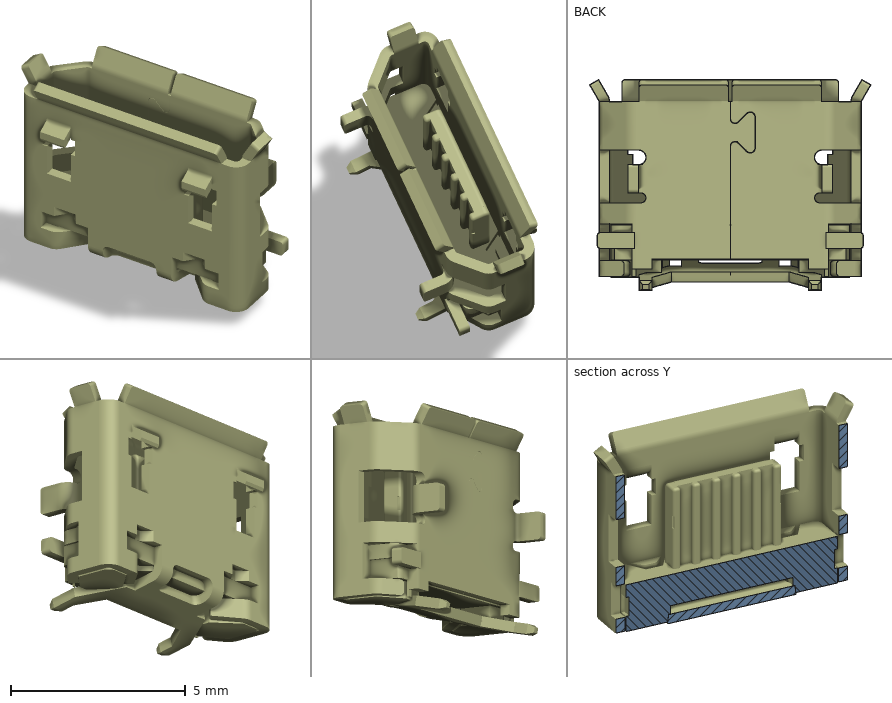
import cadquery as cq
import math

SHEET = 0.3
BEND = 0.42
HALF_WIDTH = 3.75
DEPTH = 2.45
HEIGHT = 5.0
BACK_INNER = DEPTH - SHEET
BACK_CHAMFER = 0.885
CLEAR = 0.8
OVERLAP = 0.08

FLARE_ANGLE = 30
FLARE_INNER_RADIUS = 0.02
FLARE_RADIUS = SHEET + FLARE_INNER_RADIUS
FLARE_TIP_X = 4.02
FLARE_LENGTH = (
    FLARE_TIP_X - HALF_WIDTH - FLARE_INNER_RADIUS * (1 - math.cos(math.radians(FLARE_ANGLE)))
) / math.sin(math.radians(FLARE_ANGLE))
FLARE_CORNER = 0.1
FRONT_FLARE_HALF = 3.095
SIDE_FLARE_Y = (0.555, 1.32)
BACK_FLARE_HALF = 2.605
BACK_FLARE_GAP = 0.105

SEAM_GAP = 0.01
SEAM_TONGUE_X = -0.71
SEAM_TONGUE_Z = 4.12
SEAM_NECK_HALF = 0.065
SEAM_ROUND = 0.14

CLIP_X = (1.98, 2.78)
CLIP_ROOT_Z = 4.47
CLIP_INNER_RADIUS = 0.11
CLIP_RADIUS = SHEET + CLIP_INNER_RADIUS
CLIP_ANGLE = 60
CLIP_LENGTH = 0.47
CLIP_REACH = 0.36
CLIP_SLOT_Z = 2.55
CLIP_WIDE_X = (1.83, 2.93)
CLIP_WIDE_Z = (3.49, 4.0)

WINDOW_Z = (2.11, 3.61)
WINDOW_Y = 1.04
WINDOW_END_X = 2.41
SLOT_ROUNDING = 0.499
LEG_ROOT_X = 2.51
LEG_Z = (2.39, 3.2)
LEG_TIP_Y = 3.24
LEG_CORNER = 0.1

FRONT_OPENING_X = (1.4, 2.99)
FRONT_OPENING_Z = (0.6, 1.165)
STRAP_RADIUS = 0.38
STRAP_ANGLE = 45
FRONT_STRAP_X = 2.65
FRONT_STRAP_LENGTH = 0.925
STRAP_CORNER = 0.12
STRAP_RISE = 0.1
SIDE_OPENING_Y = 1.165
SIDE_OPENING_Z = (0.46, 1.5)
SIDE_STRAP_Y = 1.39
SIDE_STRAP_ANGLE = 54
SIDE_STRAP_LENGTH = 0.67
BACK_WALL_BOTTOM = 0.21
BACK_WALL_END_X = 2.81
BACK_NOTCH_HALF = 2.235
BACK_NOTCH_TOP_Z = 0.51
TAB_X = 3.8
TAB_Y = (2.18, 2.5)
TAB_Z = (0.795, 1.26)
TAB_CORNER = 0.1

DIMPLE_X = 2.17
DIMPLE_TOP_Z = 1.48
DIMPLE_BASE_HALF = 0.48
DIMPLE_CREST_HALF = 0.19
DIMPLE_DEPTH = 0.29
HOLLOW_BASE_HALF = 0.37
HOLLOW_CREST_HALF = 0.11
DIMPLE_ROUND = 0.16
HOLLOW_ROUND = 0.08

FLAP_DROP = 11.6
FLAP_ANGLE = 90 - FLAP_DROP
FLAP_BEND_Z = 0.555
FLAP_SLOT_HALF = 0.9
FLAP_SLOT_TOP_Z = 0.75
FLAP_SLOT_REACH = 0.28
FLAP_SLOT_CORNER = 0.2
SHOULDER_X = 1.785
SHOULDER_REACH = 0.675
FLAP_REACH = 1.51
FLAP_BACK_HALF = 1.68
PEG_X = (2.235, 2.605)
PEG_ROOT_REACH = 2.3
PEG_SIDE_REACH = 1.93
PEG_REACH = 2.725
PEG_POINT = 0.19

HOUSING_HALF = 3.41
HOUSING_BACK = 2.14
HOUSING_BOTTOM = 0.475
HOUSING_TOP = DIMPLE_TOP_Z
HOUSING_FRONT_ROUND = 0.24
HOUSING_BACK_ROUND = 0.29
FOOT_X = 1.96
FOOT_BACK = 1.97
FOOT_BOTTOM = -0.025
STRAP_NOTCH_X = (1.255, 2.65)
STRAP_NOTCH_TOP = 0.63
FOOT_CORNER_X = 2.69
FOOT_CORNER_Y = 1.45
POCKET_BASE_HALF = 0.635
POCKET_CREST_HALF = 0.27
POCKET_BACK = 0.845
RECESS_X = 3.31
RECESS_TOP_Z = 1.06

RIB_PITCH = 0.65
RIB_COUNT = 6
RIB_WIDTH = 0.24
RIB_BACK = 1.215
RIB_ROUND = 0.08
TONGUE_TOP = 4.02
TONGUE_HALF = ((RIB_COUNT - 1) * RIB_PITCH + RIB_WIDTH) / 2
TONGUE_Y = (0.63, 1.045)
TONGUE_ROUND = 0.18
NOTCH_Z = (2.765, 3.15)
NOTCH_Y = 1.12
NOTCH_DEPTH = 0.04

PLATE_HALF = 1.495
PLATE_BACK = 0.91
PLATE_ROUND = 0.15


def block(x, y, z):
    """Box between the given (low, high) limits of each axis."""
    return (
        cq.Workplane("XY")
        .box(x[1] - x[0], y[1] - y[0], z[1] - z[0], centered=False)
        .translate((x[0], y[0], z[0]))
    )


def both_sides(body):
    """The body together with its mirror image across X = 0."""
    return body.union(body.mirror("YZ"))


def bent_strip(plane, span, root, heading, inward, radius, angle, length, corner=0):
    """Strip that starts at `root`, bends towards `inward` and then runs straight for `length`.

    `plane` is the plane in which the strip bends and `span` its (low, high) limits along the normal.
    `root` lies on the outside of the bend and `radius` is the outer bend radius.
    `corner` rounds the two corners of the tip.
    """

    def place(along, across):
        return (
            root[0] + along * heading[0] + across * inward[0],
            root[1] + along * heading[1] + across * inward[1],
        )

    def on_arc(arc_radius, degrees):
        turned = math.radians(degrees)
        return place(arc_radius * math.sin(turned), radius - arc_radius * math.cos(turned))

    turn = math.radians(angle)
    run = (length * math.cos(turn), length * math.sin(turn))
    inner = radius - SHEET
    outline = cq.Workplane(plane).workplane(offset=span[0]).moveTo(*root)
    outline = outline.threePointArc(on_arc(radius, angle / 2), on_arc(radius, angle))
    if length:
        outline = outline.lineTo(
            *place(radius * math.sin(turn) + run[0], radius * (1 - math.cos(turn)) + run[1])
        )
        outline = outline.lineTo(
            *place(inner * math.sin(turn) + run[0], radius - inner * math.cos(turn) + run[1])
        )
    outline = outline.lineTo(*on_arc(inner, angle))
    outline = outline.threePointArc(on_arc(inner, angle / 2), on_arc(inner, 0)).close()
    strip = outline.extrude(span[1] - span[0])
    if corner:
        axes = cq.Plane.named(plane)
        thickness = axes.xDir * (inward[0] * math.cos(turn) - heading[0] * math.sin(turn))
        thickness += axes.yDir * (inward[1] * math.cos(turn) - heading[1] * math.sin(turn))
        strip = strip.edges(cq.selectors.ParallelDirSelector(thickness)).fillet(corner)
    return strip


def tube_section(inset):
    """Prism of the shell's outline, moved inwards by `inset`."""
    corner = BACK_CHAMFER - inset * (2 - math.sqrt(2))
    half = HALF_WIDTH - inset
    back = DEPTH - inset
    return (
        cq.Workplane("XY")
        .polyline([
            (-half, inset), (half, inset), (half, back - corner), (half - corner, back),
            (corner - half, back), (-half, back - corner),
        ])
        .close()
        .extrude(HEIGHT)
        .edges("|Z")
        .fillet(BEND - inset)
    )


def mouth_flares():
    """Flares leaning outwards: one in front, one on each side and two at the back."""
    bend = (FLARE_RADIUS, FLARE_ANGLE, FLARE_LENGTH, FLARE_CORNER)
    front_span = (-FRONT_FLARE_HALF, FRONT_FLARE_HALF)
    back_span = (BACK_FLARE_GAP / 2, BACK_FLARE_HALF)
    side_span = (-SIDE_FLARE_Y[1], -SIDE_FLARE_Y[0])
    front = bent_strip("YZ", front_span, (SHEET, HEIGHT), (0, 1), (-1, 0), *bend)
    back = bent_strip("YZ", back_span, (BACK_INNER, HEIGHT), (0, 1), (1, 0), *bend)
    side = bent_strip("XZ", side_span, (HALF_WIDTH - SHEET, HEIGHT), (0, 1), (1, 0), *bend)
    return front.union(both_sides(back)).union(both_sides(side))


def seam():
    """Thin gap through the back wall that follows the rounded dovetail tongue."""
    head_half = SEAM_NECK_HALF - SEAM_TONGUE_X
    far_x = HALF_WIDTH + CLEAR
    above = HEIGHT + 2 * CLEAR
    half_wall = (
        cq.Workplane("XZ")
        .polyline([
            (0, above), (0, SEAM_TONGUE_Z + SEAM_NECK_HALF), (SEAM_TONGUE_X, SEAM_TONGUE_Z + head_half),
            (SEAM_TONGUE_X, SEAM_TONGUE_Z - head_half), (0, SEAM_TONGUE_Z - SEAM_NECK_HALF),
            (0, -CLEAR), (far_x, -CLEAR), (far_x, above),
        ])
        .close()
        .extrude(-CLEAR)
    )
    tongue_corners = cq.selectors.BoxSelector(
        (SEAM_TONGUE_X - OVERLAP, 0, SEAM_TONGUE_Z - head_half - OVERLAP),
        (OVERLAP, CLEAR, SEAM_TONGUE_Z + head_half + OVERLAP),
    )
    half_wall = half_wall.edges("|Y").edges(tongue_corners).fillet(SEAM_ROUND)
    grown = half_wall.faces("<Y").wires().toPending().offset2D(SEAM_GAP).extrude(-CLEAR)
    return grown.cut(half_wall).translate((0, BACK_INNER - SHEET, 0))


def clip_slot():
    """T-shaped opening of the front wall below a spring clip."""
    through = (-CLEAR, SHEET + OVERLAP)
    narrow = block(CLIP_X, through, (CLIP_SLOT_Z, CLIP_ROOT_Z))
    return narrow.union(block(CLIP_WIDE_X, through, CLIP_WIDE_Z))


def clip():
    """Spring clip bent out of the front wall, its tip cut off parallel to the wall."""
    blade = bent_strip(
        "YZ", CLIP_X, (SHEET, CLIP_ROOT_Z), (0, -1), (-1, 0), CLIP_RADIUS, CLIP_ANGLE, CLIP_LENGTH
    )
    return blade.intersect(block((0, HALF_WIDTH), (-CLIP_REACH, SHEET), (0, HEIGHT)))


def side_window():
    """Window around the side wall and back corner, with round-ended slots beside the leg."""
    y_range = (WINDOW_Y, DEPTH + CLEAR)
    window = block((LEG_ROOT_X + SHEET, HALF_WIDTH + CLEAR), y_range, WINDOW_Z)
    for low, high in ((WINDOW_Z[0], LEG_Z[0]), (LEG_Z[1], WINDOW_Z[1])):
        slot = block((WINDOW_END_X, HALF_WIDTH), y_range, (low, high))
        window = window.union(slot.edges("|Y and <X").fillet(SLOT_ROUNDING * (high - low)))
    return window.union(block((LEG_ROOT_X, HALF_WIDTH), y_range, LEG_Z))


def leg():
    """Soldering leg bent backwards out of the back wall."""
    length = LEG_TIP_Y - BACK_INNER - BEND
    return bent_strip(
        "XY", LEG_Z, (LEG_ROOT_X, BACK_INNER), (1, 0), (0, 1), BEND, 90, length, LEG_CORNER
    )


def lower_openings():
    """Openings of one side below the dimple, around the side strap and at the back corner."""
    through = (-CLEAR, SHEET + OVERLAP)
    opening = block(FRONT_OPENING_X, through, FRONT_OPENING_Z)
    below = block((FRONT_OPENING_X[0], FRONT_STRAP_X), through, (-CLEAR, FRONT_OPENING_Z[0]))
    side_x = (BACK_WALL_END_X, HALF_WIDTH + CLEAR)
    side = block(side_x, (SIDE_OPENING_Y, DEPTH + CLEAR), SIDE_OPENING_Z)
    corner = block(side_x, (SIDE_STRAP_Y, DEPTH + CLEAR), (-CLEAR, SIDE_OPENING_Z[0]))
    return opening.union(below).union(side).union(corner)


def straps():
    """Straps of one side that bend inwards around the foot of the housing."""
    front = bent_strip(
        "XY", (0, FRONT_OPENING_Z[0]), (FRONT_STRAP_X, 0), (-1, 0), (0, 1),
        STRAP_RADIUS, STRAP_ANGLE, FRONT_STRAP_LENGTH, STRAP_CORNER,
    )
    reach = STRAP_RADIUS + FRONT_STRAP_LENGTH
    below_rise = (
        cq.Workplane("XZ")
        .polyline([(FRONT_STRAP_X, 0), (FRONT_STRAP_X - reach, 0), (FRONT_STRAP_X - reach, STRAP_RISE)])
        .close()
        .extrude(-reach)
    )
    front = front.cut(below_rise)
    side = bent_strip(
        "XY", (0, SIDE_OPENING_Z[0]), (HALF_WIDTH, SIDE_STRAP_Y), (0, 1), (-1, 0),
        BEND, SIDE_STRAP_ANGLE, SIDE_STRAP_LENGTH, STRAP_CORNER,
    )
    return front.union(side)


def trapezoid(base_half, crest_half, base_y, crest_y, bottom, top):
    """Upright prism centred on the dimple that narrows from `base_y` to `crest_y`."""
    return (
        cq.Workplane("XY")
        .workplane(offset=bottom)
        .polyline([
            (DIMPLE_X - base_half, base_y), (DIMPLE_X + base_half, base_y),
            (DIMPLE_X + crest_half, crest_y), (DIMPLE_X - crest_half, crest_y),
        ])
        .close()
        .extrude(top - bottom)
    )


def dimple():
    """Raised inner side of the dimple."""
    crest = SHEET + DIMPLE_DEPTH
    bump = trapezoid(
        DIMPLE_BASE_HALF, DIMPLE_CREST_HALF, SHEET, crest, FRONT_OPENING_Z[1], DIMPLE_TOP_Z
    )
    return bump.edges("|Z and >Y").fillet(DIMPLE_ROUND)


def dimple_hollow():
    """Hollow outer side of the dimple."""
    hollow = trapezoid(
        HOLLOW_BASE_HALF, HOLLOW_CREST_HALF, 0, DIMPLE_DEPTH, FRONT_OPENING_Z[1], DIMPLE_TOP_Z
    )
    return hollow.edges("|Z and >Y").fillet(HOLLOW_ROUND)


def flap():
    """Bottom flap with its bend, peg-ended wings and the slot across the bend."""
    bend = bent_strip(
        "YZ", (-FRONT_OPENING_X[0], FRONT_OPENING_X[0]), (0, FLAP_BEND_Z), (0, -1), (1, 0),
        BEND, FLAP_ANGLE, 0,
    )
    turn = math.radians(FLAP_ANGLE)
    flap_start = cq.Vector(0, BEND * (1 - math.cos(turn)), FLAP_BEND_Z - BEND * math.sin(turn))
    slope = math.radians(FLAP_DROP)
    normal = cq.Vector(0, math.sin(slope), math.cos(slope))
    plane = cq.Plane(origin=flap_start, xDir=(1, 0, 0), normal=normal)
    half = [
        (FRONT_OPENING_X[0], 0), (FRONT_OPENING_X[0], SHOULDER_REACH), (SHOULDER_X, SHOULDER_REACH),
        (PEG_X[1], PEG_SIDE_REACH), (PEG_X[1], PEG_REACH), (PEG_X[0], PEG_REACH),
        (PEG_X[0], PEG_ROOT_REACH), (FLAP_BACK_HALF, FLAP_REACH),
    ]
    outline = half + [(-x, y) for x, y in reversed(half)]
    plate = cq.Workplane(plane).polyline(outline).close().extrude(SHEET)
    peg_end = cq.Plane(origin=flap_start + plane.yDir * PEG_REACH, xDir=(1, 0, 0), normal=plane.yDir)
    peg_point = (
        cq.Workplane(peg_end)
        .center(sum(PEG_X) / 2, -SHEET / 2)
        .rect(PEG_X[1] - PEG_X[0], SHEET)
        .workplane(offset=PEG_POINT)
        .rect((PEG_X[1] - PEG_X[0]) / 2, SHEET / 2)
        .loft()
    )
    slot = (
        cq.Workplane(plane)
        .center(0, FLAP_SLOT_REACH - CLEAR)
        .rect(2 * FLAP_SLOT_HALF, 2 * CLEAR)
        .extrude(2 * SHEET, both=True)
        .edges(cq.selectors.ParallelDirSelector(normal))
        .edges(">Y")
        .fillet(FLAP_SLOT_CORNER)
    )
    return bend.union(plate).union(both_sides(peg_point)).cut(slot)


def flap_slot_top():
    """Part of the flap's slot that rises into the front wall."""
    slot = block((-FLAP_SLOT_HALF, FLAP_SLOT_HALF), (-OVERLAP, SHEET + OVERLAP), (-CLEAR, FLAP_SLOT_TOP_Z))
    return slot.edges("|Y and >Z").fillet(FLAP_SLOT_CORNER)


def soldering_tab():
    """Tab standing out sideways from the lower end of the back wall."""
    tab = block((BACK_WALL_END_X - OVERLAP, TAB_X), TAB_Y, TAB_Z)
    return tab.edges("|Y and >X").fillet(TAB_CORNER)


def make_shell():
    """Sheet metal shell with all its cut-outs, tabs and straps."""
    shell = tube_section(0).cut(tube_section(SHEET))
    shell = shell.union(mouth_flares())
    shell = shell.union(both_sides(dimple())).cut(both_sides(dimple_hollow()))
    shell = shell.cut(both_sides(clip_slot())).union(both_sides(clip()))
    shell = shell.cut(both_sides(side_window())).union(both_sides(leg()))
    shell = shell.cut(both_sides(lower_openings())).union(both_sides(straps()))
    below_back = block(
        (-BACK_WALL_END_X, BACK_WALL_END_X), (BACK_INNER, DEPTH + CLEAR), (-CLEAR, BACK_WALL_BOTTOM)
    )
    below_front = block(
        (-FRONT_OPENING_X[0], FRONT_OPENING_X[0]), (-CLEAR, SHEET + OVERLAP), (-CLEAR, FLAP_BEND_Z)
    )
    back_notch = block(
        (-BACK_NOTCH_HALF, BACK_NOTCH_HALF), (BACK_INNER, DEPTH + CLEAR), (-CLEAR, BACK_NOTCH_TOP_Z)
    )
    shell = shell.cut(below_back).cut(back_notch).cut(below_front)
    shell = shell.union(flap()).cut(flap_slot_top())
    return shell.union(both_sides(soldering_tab())).cut(seam())


def make_plate():
    """Stiffener plate with a rounded upper front edge."""
    plate = block((-PLATE_HALF, PLATE_HALF), (TONGUE_Y[0], PLATE_BACK), (HOUSING_TOP, TONGUE_TOP))
    return plate.edges(">Z and <Y").fillet(PLATE_ROUND)


def make_tongue():
    """Tongue with its row of ribs and a notch in each outer rib."""
    tongue = block((-TONGUE_HALF, TONGUE_HALF), TONGUE_Y, (HOUSING_TOP, TONGUE_TOP))
    tongue = tongue.edges("<Y and >Z").fillet(TONGUE_ROUND)
    tongue = tongue.faces("<X or >X").edges("(not <Z) and (not >Y)").fillet(RIB_ROUND)
    for index in range(RIB_COUNT):
        middle = (index - (RIB_COUNT - 1) / 2) * RIB_PITCH
        rib = block(
            (middle - RIB_WIDTH / 2, middle + RIB_WIDTH / 2), (TONGUE_Y[1] - OVERLAP, RIB_BACK),
            (HOUSING_TOP, TONGUE_TOP),
        )
        rib = rib.edges("(>Y or >Z) and (not <Y) and (not <Z)").fillet(RIB_ROUND)
        tongue = tongue.union(rib)
    notch = block(
        (TONGUE_HALF - NOTCH_DEPTH, TONGUE_HALF + OVERLAP), (NOTCH_Y, RIB_BACK + OVERLAP), NOTCH_Z
    )
    return tongue.cut(both_sides(notch))


def strap_notch():
    """V-shaped notch below one side of the housing front, into which a front strap bends."""
    middle = sum(STRAP_NOTCH_X) / 2
    depth = middle - STRAP_NOTCH_X[0]
    return (
        cq.Workplane("XY")
        .workplane(offset=FOOT_BOTTOM)
        .polyline([(STRAP_NOTCH_X[0], SHEET), (STRAP_NOTCH_X[1], SHEET), (middle, SHEET + depth)])
        .close()
        .extrude(STRAP_NOTCH_TOP - FOOT_BOTTOM)
    )


def make_housing(shell, plate):
    """Housing with its tongue, recessed where the shell and the plate enter it."""
    body = block((-HOUSING_HALF, HOUSING_HALF), (SHEET, HOUSING_BACK), (HOUSING_BOTTOM, HOUSING_TOP))
    body = body.edges("|Z and <Y").fillet(HOUSING_FRONT_ROUND)
    body = body.edges("|Z and >Y").fillet(HOUSING_BACK_ROUND)
    foot = block((FOOT_X, HOUSING_HALF), (SHEET, FOOT_BACK), (FOOT_BOTTOM, HOUSING_BOTTOM))
    foot = foot.edges("|Z and >X and <Y").fillet(HOUSING_FRONT_ROUND)
    foot_corner = (
        cq.Workplane("XY")
        .workplane(offset=FOOT_BOTTOM)
        .polyline([(HOUSING_HALF, FOOT_CORNER_Y), (HOUSING_HALF, FOOT_BACK), (FOOT_CORNER_X, FOOT_BACK)])
        .close()
        .extrude(HOUSING_BOTTOM - FOOT_BOTTOM)
    )
    foot = foot.cut(foot_corner)
    pocket = trapezoid(
        POCKET_BASE_HALF, POCKET_CREST_HALF, SHEET, POCKET_BACK, FRONT_OPENING_Z[1], HOUSING_TOP
    )
    recess = block(
        (RECESS_X, HALF_WIDTH), (SIDE_OPENING_Y, DEPTH), (HOUSING_BOTTOM, RECESS_TOP_Z)
    )
    housing = body.union(both_sides(foot)).cut(both_sides(strap_notch()))
    housing = housing.cut(both_sides(pocket)).cut(both_sides(recess))
    return housing.union(make_tongue()).cut(shell).cut(plate)


shell = make_shell()
plate = make_plate()
housing = make_housing(shell, plate)
result = cq.Compound.makeCompound([shell.solids().val(), housing.solids().val(), plate.solids().val()])